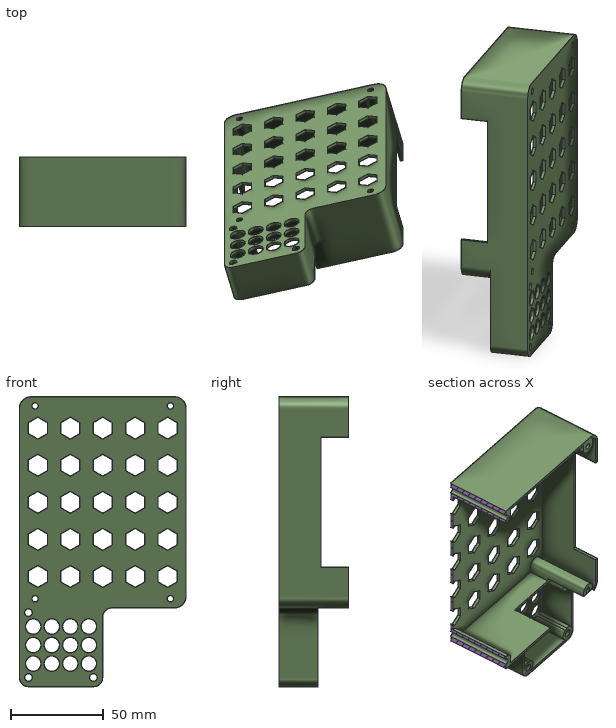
import cadquery as cq
import math

BOX_WIDTH = 90.0
BOX_HEIGHT = 114.0
BOX_DEPTH = 37.6
BOX_CORNER = 6.4
TOTAL_HEIGHT = 156.5
EXT_WIDTH = 45.0
EXT_DEPTH = 21.1
EXT_CORNER = 5.0
PLATE = 1.7
WALL = 1.6

NOTCH_HEIGHT = 70.0
NOTCH_DEPTH = 14.8

PASSAGE_WIDTH = 39.0
PASSAGE_START = 13.5

HEX_COUNT = 5
HEX_PITCH_X = 17.5
HEX_PITCH_Z = 20.0
HEX_DIAMETER = 11.75

ROUND_COLUMNS = 4
ROUND_ROWS = 3
ROUND_PITCH = 10.0
ROUND_DIAMETER = 8.2
ROUND_FIRST_X = 7.5
ROUND_FIRST_Z = -124.0

BOX_HOLE = 3.3
BOX_HOLE_SPACING_X = 73.0
BOX_HOLE_SPACING_Z = 104.0
BOX_POST_WIDTH = 8.0

EXT_HOLE = 4.0
EXT_HOLE_SPACING = 35.0
EXT_HOLE_X = 4.9
EXT_HOLE_Z = -151.5
EXT_POST_DIAMETER = 8.0

BOX_CENTER = (BOX_WIDTH / 2, -BOX_HEIGHT / 2)
BOX_POINTS = [
    (BOX_CENTER[0] + i * BOX_HOLE_SPACING_X / 2, BOX_CENTER[1] + j * BOX_HOLE_SPACING_Z / 2)
    for i in (-1, 1) for j in (-1, 1)
]
EXT_POINTS = [
    (EXT_HOLE_X, EXT_HOLE_Z),
    (EXT_HOLE_X + EXT_HOLE_SPACING, EXT_HOLE_Z),
    (EXT_HOLE_X, EXT_HOLE_Z + EXT_HOLE_SPACING),
]


def plane_at(y):
    """Workplane facing the front (-Y), with local x = X and local y = Z."""
    return cq.Workplane("XZ", origin=(0, y, 0))


def rounded_block(left, right, bottom, top, radius, y_start, y_end):
    """Block between two depths with its four depthwise edges rounded."""
    return (
        plane_at(y_start)
        .center((left + right) / 2, (bottom + top) / 2)
        .rect(right - left, top - bottom)
        .extrude(y_start - y_end)
        .edges("|Y")
        .fillet(radius)
    )


def box_block(inset, y_start):
    return rounded_block(
        inset, BOX_WIDTH - inset, -BOX_HEIGHT + inset, -inset, BOX_CORNER - inset, y_start, BOX_DEPTH
    )


def extension_cavity():
    return rounded_block(
        WALL, EXT_WIDTH - WALL, -TOTAL_HEIGHT + WALL, -BOX_HEIGHT, EXT_CORNER - WALL, PLATE, EXT_DEPTH
    )


def front_body():
    """Full L-shaped outline over the depth shared by box and extension."""
    body = (
        plane_at(0)
        .polyline([(0, 0), (BOX_WIDTH, 0), (BOX_WIDTH, -BOX_HEIGHT), (EXT_WIDTH, -BOX_HEIGHT),
                   (EXT_WIDTH, -TOTAL_HEIGHT), (0, -TOTAL_HEIGHT)])
        .close()
        .extrude(-EXT_DEPTH)
    )
    body = body.edges("|Y and (>X or >Z)").fillet(BOX_CORNER)
    body = body.edges("|Y and <Z").fillet(EXT_CORNER)
    inner_corner = cq.selectors.NearestToPointSelector((EXT_WIDTH, EXT_DEPTH / 2, -BOX_HEIGHT))
    return body.edges(inner_corner).fillet(EXT_CORNER)


def make_shell():
    solid = front_body().union(box_block(0, 0))
    return solid.cut(box_block(WALL, PLATE)).cut(extension_cavity())


def cut_notches(part):
    """Matching notches in the rear edges of the left and right walls."""
    notch = cq.Workplane("XY").box(2 * BOX_WIDTH, NOTCH_DEPTH, NOTCH_HEIGHT)
    return part.cut(notch.translate((BOX_CENTER[0], BOX_DEPTH - NOTCH_DEPTH / 2, BOX_CENTER[1])))


def cut_passage(part):
    """Opening in the box floor that joins the box and the extension."""
    length = BOX_DEPTH - PASSAGE_START
    passage = cq.Workplane("XY").box(PASSAGE_WIDTH, length, 2 * WALL, centered=(True, False, True))
    return part.cut(passage.translate((EXT_WIDTH / 2, PASSAGE_START, -BOX_HEIGHT + WALL)))


def add_box_posts(part):
    """Round-nosed posts standing on the top wall and on the floor, over the full depth."""
    stem_height = (BOX_HEIGHT - BOX_HOLE_SPACING_Z) / 2
    for x, z in BOX_POINTS:
        toward_wall = math.copysign(stem_height, z - BOX_CENTER[1])
        nose = plane_at(0).center(x, z).circle(BOX_POST_WIDTH / 2).extrude(-BOX_DEPTH)
        stem = (
            plane_at(0)
            .center(x, z + toward_wall / 2)
            .rect(BOX_POST_WIDTH, stem_height)
            .extrude(-BOX_DEPTH)
        )
        part = part.union(nose.union(stem).intersect(box_block(0, 0)))
    return part


def add_extension_posts(part):
    posts = plane_at(0).pushPoints(EXT_POINTS).circle(EXT_POST_DIAMETER / 2).extrude(-EXT_DEPTH)
    return part.union(posts.intersect(front_body()))


def cut_screw_holes(part):
    box_holes = plane_at(0).pushPoints(BOX_POINTS).circle(BOX_HOLE / 2).extrude(-BOX_DEPTH)
    ext_holes = plane_at(0).pushPoints(EXT_POINTS).circle(EXT_HOLE / 2).extrude(-EXT_DEPTH)
    return part.cut(box_holes).cut(ext_holes)


def cut_hexagons(part):
    """Grid of hexagons standing on a point, centred on the box plate."""
    hexagon = plane_at(0).polygon(6, HEX_DIAMETER).extrude(-PLATE).rotate((0, 0, 0), (0, 1, 0), 30)
    middle = (HEX_COUNT - 1) / 2
    for i in range(HEX_COUNT):
        for j in range(HEX_COUNT):
            x = BOX_CENTER[0] + (i - middle) * HEX_PITCH_X
            z = BOX_CENTER[1] + (j - middle) * HEX_PITCH_Z
            part = part.cut(hexagon.translate((x, 0, z)))
    return part


def cut_round_holes(part):
    """Grid of round openings, deep enough to trim the post beside them."""
    points = [
        (ROUND_FIRST_X + i * ROUND_PITCH, ROUND_FIRST_Z - j * ROUND_PITCH)
        for i in range(ROUND_COLUMNS) for j in range(ROUND_ROWS)
    ]
    return part.cut(plane_at(0).pushPoints(points).circle(ROUND_DIAMETER / 2).extrude(-EXT_DEPTH))


result = make_shell()
result = cut_notches(result)
result = add_box_posts(result)
result = add_extension_posts(result)
result = cut_passage(result)
result = cut_screw_holes(result)
result = cut_hexagons(result)
result = cut_round_holes(result)